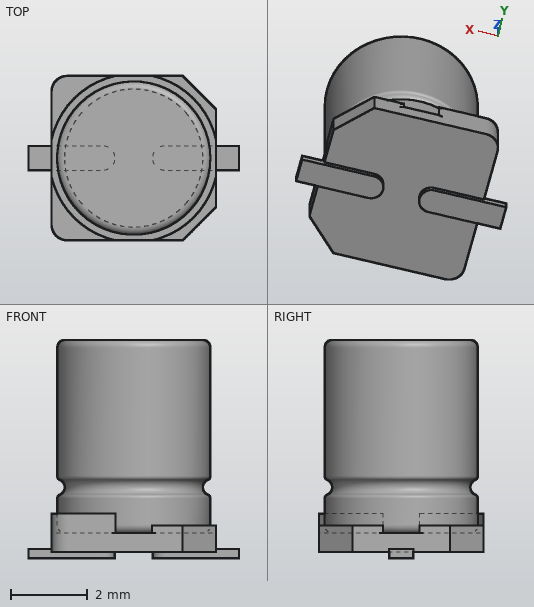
import cadquery as cq
import math

total_height = 5.7
lead_span = 5.5
base_width = 4.3

lead_width = 0.64
lead_thickness = 0.245
lead_gap = 0.98

base_bottom = 0.16
base_high_top = 1.16
base_low_top = 0.86
base_corner_radius = 0.415
base_chamfer = 0.87
recess_diameter = 4.4
recess_floor = 0.66

can_diameter = 4.0
can_edge_radius = 0.2
groove_depth = 0.195
groove_middle = 1.85
groove_height = 0.575
groove_lip_radius = 0.1


def make_base():
    """Square base with two rounded and two chamfered corners, lower on +X."""
    base = (
        cq.Workplane("XY", origin=(0, 0, base_bottom))
        .rect(base_width, base_width)
        .extrude(base_high_top - base_bottom)
        .edges("|Z and <X").fillet(base_corner_radius)
        .edges("|Z and >X").chamfer(base_chamfer)
    )
    low_half_cut = (
        cq.Workplane("XY", origin=(base_width / 2, 0, base_low_top))
        .rect(base_width, base_width)
        .extrude(base_high_top - base_low_top)
    )
    recess = (
        cq.Workplane("XY", origin=(0, 0, recess_floor))
        .circle(recess_diameter / 2)
        .extrude(base_high_top - recess_floor)
    )
    return base.cut(low_half_cut).cut(recess)


def make_can():
    """Revolved can with rounded ends and a crimp groove whose lips are rounded."""
    radius = can_diameter / 2
    waist_radius = radius - groove_depth
    half_height = groove_height / 2

    lip_centre_x = radius - groove_lip_radius
    reach = waist_radius - lip_centre_x
    groove_radius = (half_height**2 + reach**2 - groove_lip_radius**2) / (
        2 * (groove_lip_radius - reach)
    )
    groove_centre_x = waist_radius + groove_radius
    lip_angle = math.atan2(half_height, groove_centre_x - lip_centre_x)
    lip_end_x = lip_centre_x + groove_lip_radius * math.cos(lip_angle)
    lip_end_rise = half_height - groove_lip_radius * math.sin(lip_angle)
    lip_mid_x = lip_centre_x + groove_lip_radius * math.cos(lip_angle / 2)
    lip_mid_rise = half_height - groove_lip_radius * math.sin(lip_angle / 2)

    profile = (
        cq.Workplane("XZ")
        .moveTo(0, recess_floor)
        .lineTo(radius, recess_floor)
        .lineTo(radius, groove_middle - half_height)
        .threePointArc((lip_mid_x, groove_middle - lip_mid_rise), (lip_end_x, groove_middle - lip_end_rise))
        .threePointArc((waist_radius, groove_middle), (lip_end_x, groove_middle + lip_end_rise))
        .threePointArc((lip_mid_x, groove_middle + lip_mid_rise), (radius, groove_middle + half_height))
        .lineTo(radius, total_height)
        .lineTo(0, total_height)
        .close()
    )
    can = profile.revolve(360, (0, 0, 0), (0, 1, 0))
    return can.faces("<Z or >Z").edges().fillet(can_edge_radius)


def make_lead(side):
    """Flat lead with a round inner end; side is -1 or 1 along X."""
    outer_x = side * lead_span / 2
    inner_x = side * lead_gap / 2
    round_start_x = inner_x + side * lead_width / 2
    return (
        cq.Workplane("XY")
        .moveTo(outer_x, -lead_width / 2)
        .lineTo(round_start_x, -lead_width / 2)
        .threePointArc((inner_x, 0), (round_start_x, lead_width / 2))
        .lineTo(outer_x, lead_width / 2)
        .close()
        .extrude(lead_thickness)
    )


result = make_base().union(make_can())
for side in (-1, 1):
    result = result.union(make_lead(side))